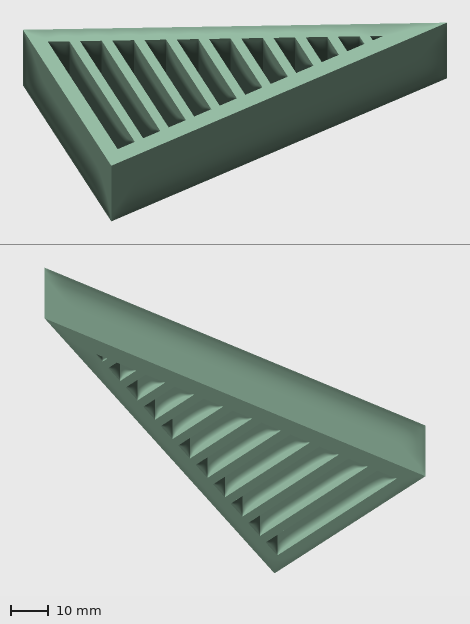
import cadquery as cq
import math

width = 50.0
length = 100.0
height = 25.0

wall = 4.0
slot_width = 5.1
rib_width = 2.5
pitch = slot_width + rib_width

slope = length / width
wall_along_x = wall * math.hypot(width, length) / length
inner_right = width - wall
inner_left = wall / slope + wall_along_x
inner_tip = slope * (inner_right - wall_along_x)
rib_count = math.floor((inner_tip - wall) / pitch)


def triangle_prism(left, right, bottom, tip):
    """Right-triangular prism with its square corner at the bottom right."""
    corners = [(left, bottom), (right, bottom), (right, tip)]
    return cq.Workplane("XY").polyline(corners).close().extrude(height)


def rib(index):
    """Cross rib lying just past the slot with the given index."""
    start = wall + index * pitch + slot_width
    return cq.Workplane("XY").box(width, rib_width, height, centered=False).translate((0, start, 0))


openings = triangle_prism(inner_left, inner_right, wall, inner_tip)
for index in range(rib_count):
    openings = openings.cut(rib(index))

result = triangle_prism(0, width, 0, length).cut(openings)